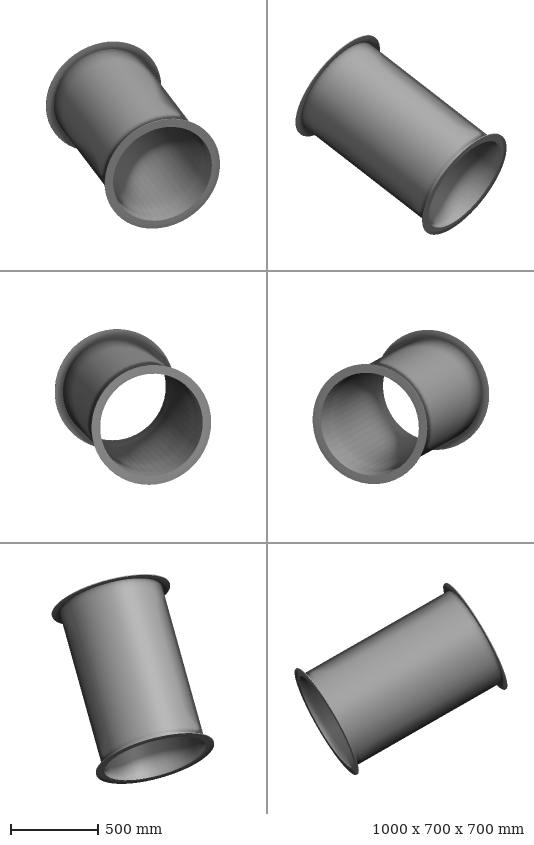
import cadquery as cq

duct_length = 1000.0
bore_diameter = 600.0
wall_thickness = 3.0
flange_diameter = 700.0
flange_thickness = 5.0

tube_diameter = bore_diameter + 2 * wall_thickness
duct_end = duct_length / 2


def make_ring(start_x, length, outer_diameter, inner_diameter):
    """Hollow cylinder along X, starting at start_x."""
    return (
        cq.Workplane("YZ", origin=(start_x, 0, 0))
        .circle(outer_diameter / 2)
        .circle(inner_diameter / 2)
        .extrude(length)
    )


def make_tube():
    """Thin-walled tube over the full length of the duct."""
    return make_ring(-duct_end, duct_length, tube_diameter, bore_diameter)


def make_flange(start_x):
    """Flat ring that fits around the outside of the tube."""
    return make_ring(start_x, flange_thickness, flange_diameter, tube_diameter)


tube = make_tube()
flanges = [make_flange(start_x) for start_x in (-duct_end, duct_end - flange_thickness)]

result = cq.Compound.makeCompound([tube.val(), *[flange.val() for flange in flanges]])